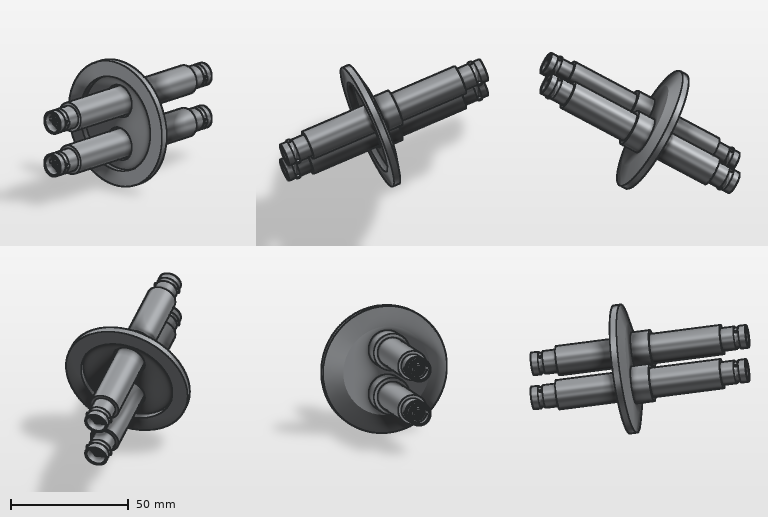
import cadquery as cq

TOTAL_LENGTH = 92.9
FEEDTHROUGH_SPACING = 19.0

FLANGE_DIAMETER = 54.9
FLANGE_FACE_Y = -7.8
RIM_THICKNESS = 3.0
FLANGE_THICKNESS = 5.2
FLANGE_BACK_RADIUS = 19.1
RECESS_RADIUS = 20.6
RECESS_DEPTH = 2.7

COLLAR_RADIUS = 8.0
COLLAR_END_Y = 5.2
CLEARANCE_RADIUS = 7.15
CLEARANCE_END_Y = 4.3

BODY_RADIUS = 6.3
BODY_HALF_LENGTH = 35.5

BARREL_RADIUS = 4.9
BARREL_CHAMFER = 0.2
GROOVE_CENTER = 4.2
GROOVE_WIDTH = 2.0
GROOVE_DEPTH = 0.6
PIN_RADIUS = 0.9
PIN_TIP_RADIUS = 5.5

SOCKET_RADIUS = 4.2
SOCKET_CHAMFER = 0.3
SOCKET_TAPER_START = 6.8
SOCKET_DEPTH = 7.4
SOCKET_FLOOR_RADIUS = 3.5
INSULATOR_TIP_DEPTH = 2.4
INSULATOR_TAPER_DEPTH = 3.1
INSULATOR_TIP_RADIUS = 2.0
INSULATOR_BASE_RADIUS = 2.7
CONTACT_TIP_DEPTH = 1.4
CONTACT_RADIUS = 1.2
CONTACT_HOLE_RADIUS = 0.65
CONTACT_HOLE_DEPTH = 3.7

END_Y = TOTAL_LENGTH / 2


def cylinder(radius, y_start, y_end):
    """Cylinder on the Y axis between two stations."""
    return cq.Workplane("XZ", origin=(0, y_start, 0)).circle(radius).extrude(y_start - y_end)


def spin(profile):
    """Turn a closed profile drawn in XY about the Y axis."""
    return profile.close().revolve(360, (0, 0, 0), (0, 1, 0))


def make_flange():
    back_y = FLANGE_FACE_Y + FLANGE_THICKNESS
    rim_back_y = FLANGE_FACE_Y + RIM_THICKNESS
    floor_y = FLANGE_FACE_Y + RECESS_DEPTH
    return spin(
        cq.Workplane("XY")
        .moveTo(0, floor_y)
        .lineTo(RECESS_RADIUS, floor_y)
        .lineTo(RECESS_RADIUS, FLANGE_FACE_Y)
        .lineTo(FLANGE_DIAMETER / 2, FLANGE_FACE_Y)
        .lineTo(FLANGE_DIAMETER / 2, rim_back_y)
        .lineTo(FLANGE_BACK_RADIUS, back_y)
        .lineTo(0, back_y)
    )


def make_barrel():
    """Solid barrel on the +Y end, with a round groove and a bayonet pin on each side."""
    groove_y = END_Y - GROOVE_CENTER
    barrel = spin(
        cq.Workplane("XY")
        .moveTo(0, BODY_HALF_LENGTH)
        .lineTo(BARREL_RADIUS, BODY_HALF_LENGTH)
        .lineTo(BARREL_RADIUS, groove_y - GROOVE_WIDTH / 2)
        .threePointArc(
            (BARREL_RADIUS - GROOVE_DEPTH, groove_y),
            (BARREL_RADIUS, groove_y + GROOVE_WIDTH / 2),
        )
        .lineTo(BARREL_RADIUS, END_Y - BARREL_CHAMFER)
        .lineTo(BARREL_RADIUS - BARREL_CHAMFER, END_Y)
        .lineTo(0, END_Y)
    )
    pins = (
        cq.Workplane("YZ", origin=(0, groove_y, 0))
        .circle(PIN_RADIUS)
        .extrude(PIN_TIP_RADIUS, both=True)
    )
    return barrel.union(pins)


def make_socket():
    """Bore of the barrel, chamfered at the mouth and tapered at the floor."""
    return spin(
        cq.Workplane("XY")
        .moveTo(0, END_Y)
        .lineTo(SOCKET_RADIUS + SOCKET_CHAMFER, END_Y)
        .lineTo(SOCKET_RADIUS, END_Y - SOCKET_CHAMFER)
        .lineTo(SOCKET_RADIUS, END_Y - SOCKET_TAPER_START)
        .lineTo(SOCKET_FLOOR_RADIUS, END_Y - SOCKET_DEPTH)
        .lineTo(0, END_Y - SOCKET_DEPTH)
    )


def make_contact():
    """Insulator with a hollow contact, standing on the socket floor."""
    return spin(
        cq.Workplane("XY")
        .moveTo(0, END_Y - SOCKET_DEPTH)
        .lineTo(INSULATOR_BASE_RADIUS, END_Y - SOCKET_DEPTH)
        .lineTo(INSULATOR_BASE_RADIUS, END_Y - INSULATOR_TAPER_DEPTH)
        .lineTo(INSULATOR_TIP_RADIUS, END_Y - INSULATOR_TIP_DEPTH)
        .lineTo(CONTACT_RADIUS, END_Y - INSULATOR_TIP_DEPTH)
        .lineTo(CONTACT_RADIUS, END_Y - CONTACT_TIP_DEPTH)
        .lineTo(CONTACT_HOLE_RADIUS, END_Y - CONTACT_TIP_DEPTH)
        .lineTo(CONTACT_HOLE_RADIUS, END_Y - CONTACT_HOLE_DEPTH)
        .lineTo(0, END_Y - CONTACT_HOLE_DEPTH)
    )


def make_feedthrough():
    body = cylinder(BODY_RADIUS, -BODY_HALF_LENGTH, BODY_HALF_LENGTH)
    connector = make_barrel().cut(make_socket()).union(make_contact())
    return body.union(connector).union(connector.mirror("XZ"))


flange = make_flange()
feedthrough = make_feedthrough()
collar = cylinder(COLLAR_RADIUS, FLANGE_FACE_Y + RECESS_DEPTH, COLLAR_END_Y)
clearance_bore = cylinder(CLEARANCE_RADIUS, FLANGE_FACE_Y, CLEARANCE_END_Y)

result = flange
for z in (-FEEDTHROUGH_SPACING / 2, FEEDTHROUGH_SPACING / 2):
    result = (
        result.union(collar.translate((0, 0, z)))
        .cut(clearance_bore.translate((0, 0, z)))
        .union(feedthrough.translate((0, 0, z)))
    )